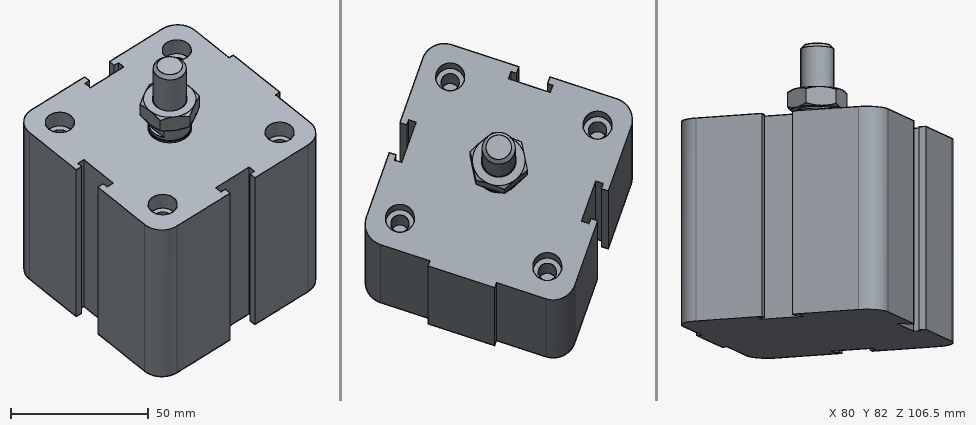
import cadquery as cq
import math


housing_width = 80.0
housing_height = 75.0
corner_radius = 8.3
rib_width = 25.6
rib_height = 2.0

slot_opening = 11.9
slot_inner_width = 16.1
slot_lip = 2.7
slot_depth = 5.5

hole_spacing = 56.5
counterbore_diameter = 10.5
counterbore_depth = 7.0
pilot_diameter = 6.6
pilot_depth = 12.8

rod_top = 106.5
rod_diameter = 16.0
rod_insertion = 14.6
rod_exposed = 1.0
neck_diameter = 15.5
neck_height = 7.7
neck_chamfer = 0.7
flat_width = 13.0
flat_start = 2.2
thread_diameter = 12.0
thread_chamfer = 1.4

nut_sides = 6
nut_across_flats = 19.1
nut_height = 6.9
nut_edge_angle = 30.0
countersink_diameter = 12.7

half_width = housing_width / 2
neck_top = housing_height + neck_height
rod_bottom = housing_height - rod_insertion


def make_slot_cutter():
    """T-slot along the full height, opening through the -Y face."""
    opening = cq.Workplane("XY").box(
        slot_opening, slot_depth, housing_height, centered=(True, False, False)
    )
    undercut = (
        cq.Workplane("XY")
        .box(slot_inner_width, slot_depth - slot_lip, housing_height, centered=(True, False, False))
        .translate((0, slot_lip, 0))
    )
    return opening.union(undercut).translate((0, -half_width, 0))


def make_housing():
    """Rounded square block with rib, T-slots, counterbored holes and a rod bore."""
    block = (
        cq.Workplane("XY")
        .rect(housing_width, housing_width)
        .extrude(housing_height)
        .edges("|Z")
        .fillet(corner_radius)
    )
    rib = cq.Workplane("XY").box(
        rib_width, half_width + rib_height, housing_height, centered=(True, False, False)
    )
    body = block.union(rib)

    slot_cutter = make_slot_cutter()
    for angle in (-90, 0, 90):
        body = body.cut(slot_cutter.rotate((0, 0, 0), (0, 0, 1), angle))

    body = (
        body.faces(">Z")
        .workplane(origin=(0, 0, housing_height))
        .rect(hole_spacing, hole_spacing, forConstruction=True)
        .vertices()
        .cboreHole(
            pilot_diameter, counterbore_diameter, counterbore_depth, counterbore_depth + pilot_depth
        )
    )
    return body.faces(">Z").workplane(origin=(0, 0, housing_height)).hole(rod_diameter, rod_insertion)


def make_piston_rod():
    """Turned rod with a flatted neck and a threaded end."""
    rod_radius = rod_diameter / 2
    neck_radius = neck_diameter / 2
    thread_radius = thread_diameter / 2
    rod_edge = rod_radius - neck_radius
    shoulder = housing_height + rod_exposed
    rod = (
        cq.Workplane("XZ")
        .moveTo(0, rod_bottom)
        .lineTo(rod_radius, rod_bottom)
        .lineTo(rod_radius, shoulder - rod_edge)
        .lineTo(neck_radius, shoulder)
        .lineTo(neck_radius, neck_top - neck_chamfer)
        .lineTo(neck_radius - neck_chamfer, neck_top)
        .lineTo(thread_radius, neck_top)
        .lineTo(thread_radius, rod_top - thread_chamfer)
        .lineTo(thread_radius - thread_chamfer, rod_top)
        .lineTo(0, rod_top)
        .close()
        .revolve(360, (0, 0, 0), (0, 1, 0))
    )
    flat_length = neck_height - flat_start
    for side in (-1, 1):
        flat_cutter = cq.Workplane("XY").box(
            rod_diameter, rod_diameter, flat_length, centered=(True, True, False)
        )
        offset = side * (flat_width + rod_diameter) / 2
        rod = rod.cut(flat_cutter.translate((0, offset, housing_height + flat_start)))
    return rod


def make_nut():
    """Hexagon nut with chamfered corners and a bore countersunk at both ends."""
    across_corners = nut_across_flats / math.cos(math.pi / nut_sides)
    flat_radius = nut_across_flats / 2
    corner_reach = across_corners / 2
    corner_drop = (corner_reach - flat_radius) * math.tan(math.radians(nut_edge_angle))
    hexagon = cq.Workplane("XY").polygon(nut_sides, across_corners).extrude(nut_height)
    envelope = (
        cq.Workplane("XZ")
        .moveTo(0, 0)
        .lineTo(flat_radius, 0)
        .lineTo(corner_reach, corner_drop)
        .lineTo(corner_reach, nut_height - corner_drop)
        .lineTo(flat_radius, nut_height)
        .lineTo(0, nut_height)
        .close()
        .revolve(360, (0, 0, 0), (0, 1, 0))
    )
    bore = cq.Workplane("XY").circle(thread_diameter / 2).extrude(nut_height)
    nut = hexagon.intersect(envelope).cut(bore)
    countersink = (countersink_diameter - thread_diameter) / 2
    nut = nut.edges("%CIRCLE").edges(cq.selectors.RadiusNthSelector(0)).chamfer(countersink)
    return nut.translate((0, 0, neck_top))


housing = make_housing()
piston_rod = make_piston_rod()
nut = make_nut()

result = cq.Compound.makeCompound([housing.val(), piston_rod.val(), nut.val()])